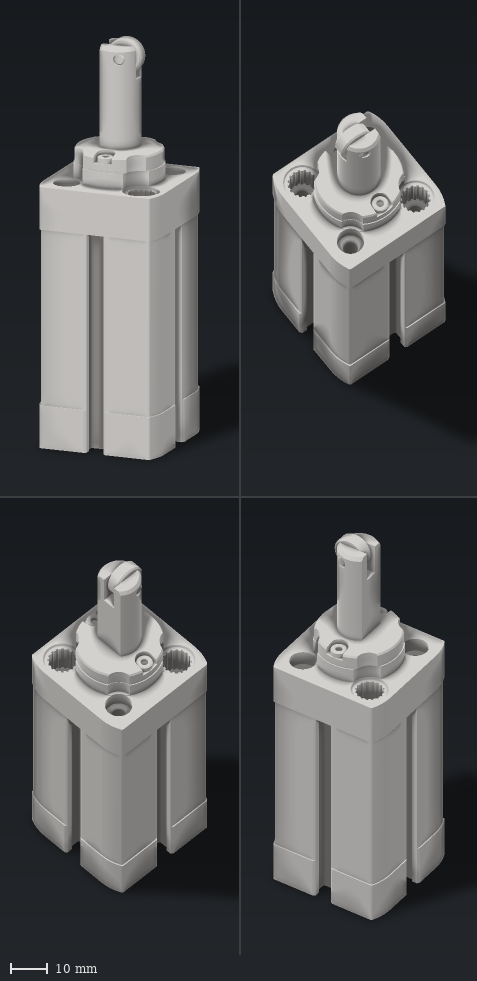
import cadquery as cq
import math

total_height = 113.0
body_width = 35.5

housing_top = 73.5
cap_height = 12.0
tube_inset = 0.3
corner_arc_start = 11.1
corner_arc_radius = 14.1
corner_edge_fillet = 0.7

groove_mouth = 6.4
groove_lip_top = 0.5
groove_lip_width = 5.1
groove_lip_depth = 2.1
groove_inner_width = 6.5
groove_depth = 5.5
groove_floor_fillet = 0.7

hole_offset = 11.0
hole_centres = [(sx * hole_offset, sy * hole_offset) for sx in (-1, 1) for sy in (-1, 1)]
hole_dia = 4.2
hole_mouth_dia = 5.0
screw_seat_dia = 7.5
screw_seat_depth = 4.1
socket_dia = 7.5
socket_groove_dia = 8.1
socket_depth = 9.0
socket_mouth_dia = 10.5
socket_step_dia = 10.0
socket_mouth_depth = 0.6
rib_count = 16

collar_top = 82.8
collar_step = 77.9
lower_ring_dia = 25.0
upper_ring_dia = 24.4
cone_top_dia = 17.4
cone_rim_height = 82.2
rim_dia = 23.7
rim_bottom = 81.6
lower_notch_dia = 9.0
upper_notch_dia = 9.3
notch_floor = 73.7

screw_offset = 9.7
pocket_dia = 5.3
pocket_floor = 80.1
head_dia = 4.5
head_face_dia = 4.0
head_height = 1.7
head_chamfer_height = 0.2
shank_dia = 2.6
shank_length = 5.6
drive_dia = 2.5
drive_inner_dia = 2.0
drive_depth = 1.1
drive_cone_depth = 0.3

rod_dia = 12.0
rod_top = 111.2
rod_bottom = housing_top
rod_flat_x = -4.0
rod_chamfer_radial = 0.7
rod_chamfer_height = 1.0
fork_gap = 4.0
fork_floor = 102.0

roller_dia = 10.0
roller_width = 3.7
roller_chamfer = 0.5
roller_x = 2.0
roller_z = total_height - roller_dia / 2
pin_dia = 3.0
pin_length = 10.6
pin_chamfer = 0.28


def cylinder(dia, bottom, top, x=0.0, y=0.0):
    return cq.Workplane("XY", origin=(x, y, bottom)).circle(dia / 2).extrude(top - bottom)


def cone(bottom_dia, top_dia, bottom, top, x=0.0, y=0.0):
    solid = cq.Solid.makeCone(bottom_dia / 2, top_dia / 2, top - bottom, cq.Vector(x, y, bottom))
    return cq.Workplane("XY").newObject([solid])


def y_cylinder(dia, length):
    """Cylinder along Y on the roller axis, centred on the XZ plane."""
    plane = cq.Workplane("XZ", origin=(roller_x, length / 2, roller_z))
    return plane.circle(dia / 2).extrude(length)


def housing_block(inset, bottom, top):
    """Square block whose four corners are large arcs, tangent to the X sides."""
    half = body_width / 2 - inset
    radius = corner_arc_radius - inset
    centre_x = half - radius

    def arc_point(y):
        return centre_x + math.sqrt(radius**2 - (y - corner_arc_start) ** 2)

    mid_y = (corner_arc_start + half) / 2
    corner_x = arc_point(half)
    mid_x = arc_point(mid_y)
    block = (
        cq.Workplane("XY", origin=(0, 0, bottom))
        .moveTo(half, -corner_arc_start)
        .lineTo(half, corner_arc_start)
        .threePointArc((mid_x, mid_y), (corner_x, half))
        .lineTo(-corner_x, half)
        .threePointArc((-mid_x, mid_y), (-half, corner_arc_start))
        .lineTo(-half, -corner_arc_start)
        .threePointArc((-mid_x, -mid_y), (-corner_x, -half))
        .lineTo(corner_x, -half)
        .threePointArc((mid_x, -mid_y), (half, -corner_arc_start))
        .close()
        .extrude(top - bottom)
    )
    return block.edges("|Z and (<Y or >Y)").fillet(corner_edge_fillet)


def groove_bevel(face_depth, bottom, top):
    """Bevelled groove mouth, from the side face at the given depth down to the lip."""
    return (
        cq.Workplane("XY", origin=(0, 0, bottom))
        .moveTo(-groove_mouth / 2, face_depth)
        .lineTo(groove_mouth / 2, face_depth)
        .lineTo(groove_lip_width / 2, groove_lip_top)
        .lineTo(-groove_lip_width / 2, groove_lip_top)
        .close()
        .extrude(top - bottom)
    )


def side_groove():
    """Undercut groove in the -Y side, from the underside up to the top cap."""
    height = housing_top - cap_height
    inner_depth = groove_depth - groove_lip_depth
    lip = cq.Workplane("XY").box(groove_lip_width, groove_lip_depth, height, centered=(True, False, False))
    inner = (
        cq.Workplane("XY", origin=(0, groove_lip_depth, 0))
        .box(groove_inner_width, inner_depth, height, centered=(True, False, False))
        .edges("|Z and >Y")
        .fillet(groove_floor_fillet)
    )
    groove = lip.union(inner)
    groove = groove.union(groove_bevel(0, 0, cap_height))
    groove = groove.union(groove_bevel(tube_inset, cap_height, height))
    return groove.translate((0, -body_width / 2, 0))


def has_ribbed_socket(x, y):
    """The holes at -X +Y and +X -Y end in ribbed sockets, the other two in plain screw seats."""
    return x * y < 0


def mounting_hole(x, y):
    """Through hole with a small countersink at the floor of its counterbore."""
    ribbed = has_ribbed_socket(x, y)
    floor = housing_top - (socket_depth if ribbed else screw_seat_depth)
    sink = (hole_mouth_dia - hole_dia) / 2
    hole = cylinder(hole_dia, 0, floor, x, y)
    hole = hole.union(cone(hole_dia, hole_mouth_dia, floor - sink, floor, x, y))
    if ribbed:
        return hole.union(ribbed_socket(floor, x, y))
    return hole.union(cylinder(screw_seat_dia, floor, housing_top, x, y))


def ribbed_socket(floor, x, y):
    """Counterbore with upright grooves around its wall and a shallow conical step at its mouth."""
    mouth_bottom = housing_top - socket_mouth_depth
    socket = cylinder(socket_dia, floor, housing_top, x, y)
    rib_width = math.pi * socket_dia / (2 * rib_count)
    groove_reach = (socket_groove_dia - socket_dia) / 2
    grooves = (
        cq.Workplane("XY", origin=(x, y, floor))
        .polarArray(socket_dia / 2, 0, 360, rib_count)
        .rect(2 * groove_reach, rib_width)
        .extrude(housing_top - floor)
    )
    mouth = cone(socket_step_dia, socket_mouth_dia, mouth_bottom, housing_top, x, y)
    return socket.union(grooves).union(mouth)


def collar():
    """Two stacked rings with a conical top, notched to clear the mounting holes."""
    body = cylinder(lower_ring_dia, housing_top, collar_step)
    body = body.union(cylinder(upper_ring_dia, collar_step, rim_bottom))
    body = body.union(cone(upper_ring_dia, rim_dia, rim_bottom, cone_rim_height))
    body = body.union(cone(rim_dia, cone_top_dia, cone_rim_height, collar_top))
    for x, y in hole_centres:
        body = body.cut(cylinder(upper_notch_dia, collar_step, collar_top, x, y))
        if has_ribbed_socket(x, y):
            body = body.cut(cylinder(socket_mouth_dia, housing_top, collar_step, x, y))
        else:
            body = body.cut(cylinder(lower_notch_dia, notch_floor, collar_step, x, y))
            body = body.cut(cylinder(screw_seat_dia, housing_top, notch_floor, x, y))
    return body


def screw_pocket(side):
    """Round pocket for a cover screw, open to the outside of the collar."""
    y = side * screw_offset
    pocket = cylinder(pocket_dia, pocket_floor, collar_top, 0, y)
    channel_height = collar_top - pocket_floor
    channel_length = lower_ring_dia / 2 - screw_offset
    channel = cq.Workplane("XY").box(pocket_dia, channel_length, channel_height, centered=(True, True, False))
    channel = channel.translate((0, side * (screw_offset + channel_length / 2), pocket_floor))
    shank_hole = cylinder(shank_dia, pocket_floor - shank_length, pocket_floor, 0, y)
    return pocket.union(channel).union(shank_hole)


def rod_blank():
    """Round bar with one flat side, from the rod seat to the rod top."""
    bar = cylinder(rod_dia, rod_bottom, rod_top)
    flat = cq.Workplane("XY", origin=(rod_flat_x - rod_dia / 2, 0, rod_bottom))
    return bar.cut(flat.box(rod_dia, rod_dia, rod_top - rod_bottom, centered=(True, True, False)))


def make_housing():
    tube_top = housing_top - cap_height
    body = housing_block(0, 0, cap_height)
    body = body.union(housing_block(tube_inset, cap_height, tube_top))
    body = body.union(housing_block(0, tube_top, housing_top))
    for quarter in range(4):
        body = body.cut(side_groove().rotate((0, 0, 0), (0, 0, 1), 90 * quarter))
    body = body.union(collar())
    for x, y in hole_centres:
        body = body.cut(mounting_hole(x, y))
    for side in (-1, 1):
        body = body.cut(screw_pocket(side))
    return body.cut(rod_blank())


def make_screw(side):
    """Cover screw with a chamfered head and a round drive recess."""
    y = side * screw_offset
    head_top = pocket_floor + head_height
    edge = head_top - head_chamfer_height
    drive_edge = (drive_dia - drive_inner_dia) / 2
    drive_bottom = head_top - drive_depth
    cone_tip = drive_bottom - drive_cone_depth
    screw = cylinder(shank_dia, pocket_floor - shank_length, pocket_floor, 0, y)
    screw = screw.union(cylinder(head_dia, pocket_floor, edge, 0, y))
    screw = screw.union(cone(head_dia, head_face_dia, edge, head_top, 0, y))
    screw = screw.cut(cone(drive_inner_dia, drive_dia, head_top - drive_edge, head_top, 0, y))
    screw = screw.cut(cylinder(drive_inner_dia, drive_bottom, head_top, 0, y))
    return screw.cut(cone(0, drive_inner_dia, cone_tip, drive_bottom, 0, y))


def make_rod():
    """Rod whose conical top is split by the roller slot and crossed by the pin hole."""
    chamfer_bottom = rod_top - rod_chamfer_height
    envelope = cylinder(rod_dia, rod_bottom, chamfer_bottom)
    envelope = envelope.union(cone(rod_dia, rod_dia - 2 * rod_chamfer_radial, chamfer_bottom, rod_top))
    slot = cq.Workplane("XY", origin=(0, 0, fork_floor))
    slot = slot.box(rod_dia, fork_gap, rod_top - fork_floor, centered=(True, True, False))
    return rod_blank().intersect(envelope).cut(slot).cut(y_cylinder(pin_dia, rod_dia))


def make_roller():
    wheel = y_cylinder(roller_dia, roller_width).edges().chamfer(roller_chamfer)
    return wheel.cut(y_cylinder(pin_dia, roller_width))


def make_pin():
    return y_cylinder(pin_dia, pin_length).edges("%CIRCLE").chamfer(pin_chamfer)


housing = make_housing()
screws = [make_screw(side) for side in (-1, 1)]
rod = make_rod()
roller = make_roller()
pin = make_pin()

result = cq.Compound.makeCompound(
    [housing.val(), rod.val(), roller.val(), pin.val(), *[screw.val() for screw in screws]]
)